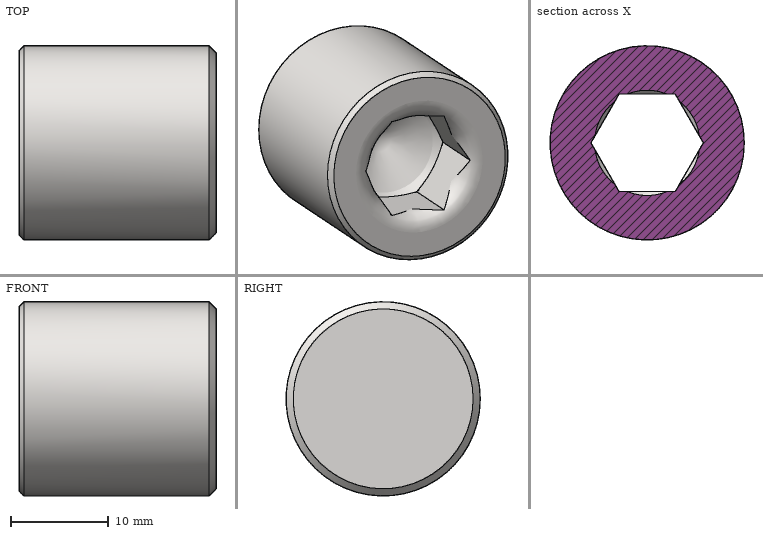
import cadquery as cq
import math

body_length = 20.3
body_radius = 10.0
front_chamfer = 0.5
rear_chamfer = 0.75

hex_across_flats = 10.0
mouth_radius = 7.0
hex_depth = 8.0
tip_angle = 120.0

bore_radius = hex_across_flats / 2
hex_corner_radius = bore_radius / math.cos(math.radians(30))
mouth_round = mouth_radius - bore_radius
relief_depth = hex_corner_radius - bore_radius
relief_start = hex_depth - relief_depth
relief_end = hex_depth + relief_depth
tip_depth = bore_radius / math.tan(math.radians(tip_angle / 2))


def make_body():
    """Solid cylinder with a small front chamfer and a larger rear chamfer."""
    cylinder = cq.Workplane("YZ").circle(body_radius).extrude(body_length)
    return cylinder.faces("<X").chamfer(front_chamfer).faces(">X").chamfer(rear_chamfer)


def make_drilled_hole():
    """Round hole with a convex rounded mouth, a 45-degree relief groove and a conical drill tip."""
    arc_offset = mouth_round * (1 - math.sqrt(0.5))
    profile = (
        cq.Workplane("XY")
        .lineTo(0, mouth_radius)
        .threePointArc((arc_offset, bore_radius + arc_offset), (mouth_round, bore_radius))
        .lineTo(relief_start, bore_radius)
        .lineTo(hex_depth, hex_corner_radius)
        .lineTo(relief_end, bore_radius)
        .lineTo(relief_end + tip_depth, 0)
        .close()
    )
    return profile.revolve(360, (0, 0, 0), (1, 0, 0))


def make_hex_socket():
    """Hexagonal socket with two corners on the Y axis, ending at the root of the relief groove."""
    return cq.Workplane("YZ").polygon(6, 2 * hex_corner_radius).extrude(hex_depth)


result = make_body().cut(make_hex_socket()).cut(make_drilled_hole())